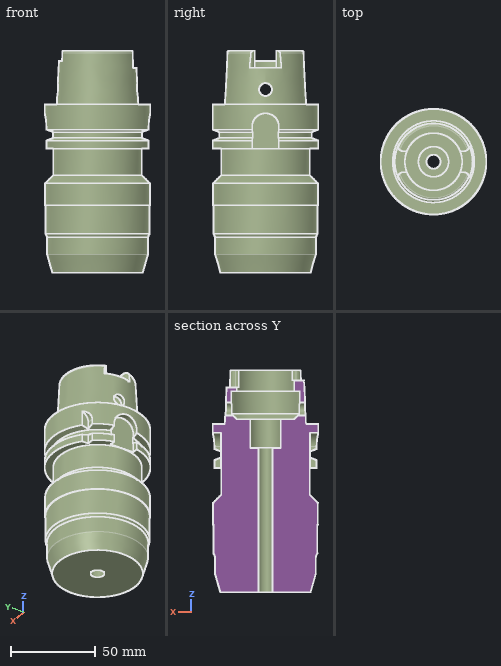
import cadquery as cq
import math

total_height = 132
max_diameter = 63.0
max_radius = max_diameter / 2

nose_end_radius = 26.9
nose_radius = 30.1
nose_taper_height = 11.1
nose_top = 21.3
sleeve_radius = 31.0
sleeve_bottom = 23.2
sleeve_top = 40.0
neck_radius = 26.4
shoulder_radius = 31.3
shoulder_bottom = 53.0
shoulder_top = shoulder_bottom + (shoulder_radius - neck_radius)

flange_bottom = 73.8
flange_top = 100.0
groove_radius = 27.6
groove_bottom = 80.1
groove_top = 83.5
groove_flank_height = 1.6

shank_base_radius = 24.3
shank_height = total_height - flange_top
shank_taper = 0.1
shank_tip_radius = shank_base_radius - shank_height * shank_taper / 2
shank_tip_fillet = 1.3

mouth_radius = 17.0
mouth_depth = 12.5
chamber_radius = 20.3
chamber_bottom = 106.1
bore_floor = chamber_bottom - (chamber_radius - mouth_radius)
counterbore_radius = 9.0
counterbore_floor = 85.8
through_radius = 4.1

drive_slot_width = 12.5
drive_slot_corner_radius = 3.0
drive_slot_corner_start = 18.1
drive_slot_depth_left = 6.1
drive_slot_depth_right = 10.3

cross_hole_diameter = 7.5
cross_hole_height = 108.9

keyway_width = 16.0
keyway_top = 94.8
keyway_floor = 26.5

notch_floor = 20.2
notch_wall = 19.8
notch_width = 12.5
notch_top = 95.0


def make_body():
    profile = [
        (0, 0),
        (nose_end_radius, 0),
        (nose_radius, nose_taper_height),
        (nose_radius, nose_top),
        (sleeve_radius, sleeve_bottom),
        (sleeve_radius, sleeve_top),
        (shoulder_radius, sleeve_top),
        (shoulder_radius, shoulder_bottom),
        (neck_radius, shoulder_top),
        (neck_radius, flange_bottom),
        (max_radius, flange_bottom),
        (max_radius, groove_bottom - groove_flank_height),
        (groove_radius, groove_bottom),
        (groove_radius, groove_top),
        (max_radius, groove_top + groove_flank_height),
        (max_radius, flange_top),
        (shank_base_radius, flange_top),
        (shank_tip_radius, total_height),
        (0, total_height),
    ]
    body = cq.Workplane("XZ").polyline(profile).close().revolve(360, (0, 0), (0, 1))
    return body.faces(">Z").edges().fillet(shank_tip_fillet)


def make_bore():
    mouth_bottom = total_height - mouth_depth
    profile = [
        (0, 0),
        (through_radius, 0),
        (through_radius, counterbore_floor),
        (counterbore_radius, counterbore_floor),
        (counterbore_radius, bore_floor),
        (mouth_radius, bore_floor),
        (chamber_radius, chamber_bottom),
        (chamber_radius, mouth_bottom),
        (mouth_radius, mouth_bottom),
        (mouth_radius, total_height),
        (0, total_height),
    ]
    return cq.Workplane("XZ").polyline(profile).close().revolve(360, (0, 0), (0, 1))


def make_drive_slot(side, depth):
    """Slot from the axis outwards on one X side (side = -1 or +1), flaring with rounded corners."""
    half_width = drive_slot_width / 2
    radius = drive_slot_corner_radius
    start = drive_slot_corner_start
    arc_along = radius * math.sin(math.radians(45))
    arc_across = radius - radius * math.cos(math.radians(45))
    flare = half_width + radius
    return (
        cq.Workplane("XY", origin=(0, 0, total_height - depth))
        .moveTo(0, half_width)
        .lineTo(side * start, half_width)
        .threePointArc(
            (side * (start + arc_along), half_width + arc_across),
            (side * (start + radius), flare),
        )
        .lineTo(side * max_radius, flare)
        .lineTo(side * max_radius, -flare)
        .lineTo(side * (start + radius), -flare)
        .threePointArc(
            (side * (start + arc_along), -half_width - arc_across),
            (side * start, -half_width),
        )
        .lineTo(0, -half_width)
        .close()
        .extrude(depth)
    )


def make_arched_cut(side, floor, center_y, width, top):
    """Round-topped cut along X, from |x| = floor outwards, open at the flange underside."""
    radius = width / 2
    return (
        cq.Workplane("YZ", origin=(side * floor, 0, 0))
        .moveTo(center_y - radius, flange_bottom)
        .lineTo(center_y - radius, top - radius)
        .threePointArc((center_y, top), (center_y + radius, top - radius))
        .lineTo(center_y + radius, flange_bottom)
        .close()
        .extrude(side * (max_radius - floor))
    )


def make_cross_hole():
    return (
        cq.Workplane("YZ", origin=(-max_radius, 0, cross_hole_height))
        .circle(cross_hole_diameter / 2)
        .extrude(max_diameter)
    )


result = make_body().cut(make_bore())
result = result.cut(make_drive_slot(-1, drive_slot_depth_left))
result = result.cut(make_drive_slot(1, drive_slot_depth_right))
result = result.cut(make_cross_hole())
for side in (-1, 1):
    result = result.cut(make_arched_cut(side, keyway_floor, 0, keyway_width, keyway_top))
notch_center = notch_wall + notch_width / 2
result = result.cut(make_arched_cut(-1, notch_floor, notch_center, notch_width, notch_top))